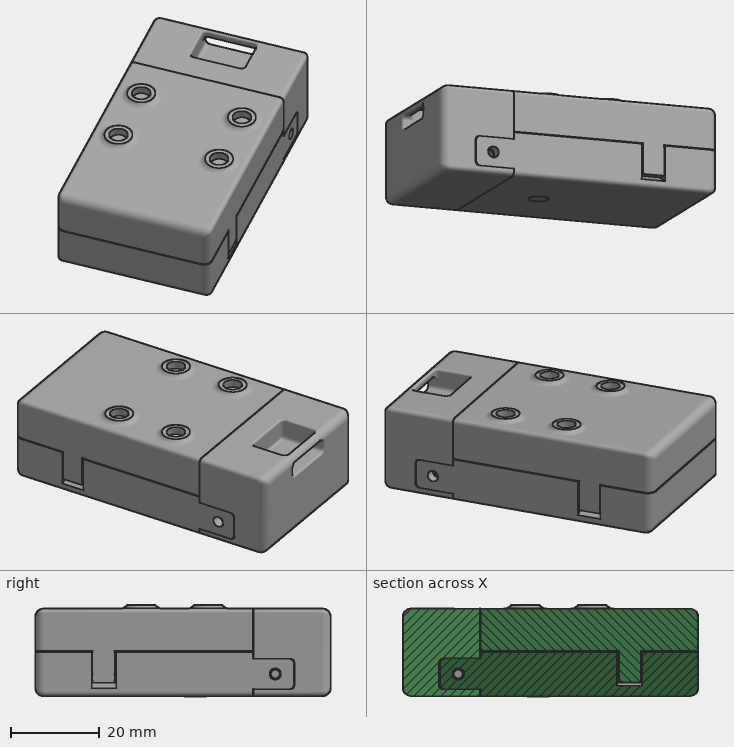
import cadquery as cq
import math

WIDTH = 36.6
LENGTH = 66.5
HEIGHT = 19.75
END_RADIUS = 2.0
SIDE_RADIUS = 1.0

CLEARANCE = 0.2
CAP_JOINT_Y = 15.75
CAP_JOINT_GAP = 0.1
LOWER_TOP_Z = 10.0
UPPER_BOTTOM_Z = LOWER_TOP_Z + CLEARANCE

TONGUE_TIP_Y = 24.85
TONGUE_BOTTOM_Z = 1.6
TONGUE_TOP_Z = 8.45
TONGUE_THICKNESS = 2.65
TONGUE_CORNER_RADIUS = 1.0

PIVOT_Y = 20.75
PIVOT_Z = (TONGUE_BOTTOM_Z + TONGUE_TOP_Z) / 2
PIVOT_CLEARANCE_DIAMETER = 2.5
PIVOT_BORE_DIAMETER = 2.0
PIVOT_BORE_DEPTH = 2.65

TAB_FRONT_Y = -20.35
TAB_BACK_Y = -15.35
TAB_BOTTOM_Z = 3.05
TAB_THICKNESS = 2.0
NOTCH_FRONT_Y = TAB_FRONT_Y - CLEARANCE
NOTCH_BACK_Y = TAB_BACK_Y + 2 * CLEARANCE
NOTCH_BOTTOM_Z = 1.8
NOTCH_LEDGE_Z = 5.0
NOTCH_RAMP_RISE = 1.7
NOTCH_RAMP_RUN = 2 * NOTCH_RAMP_RISE

BUTTON_X = 12.0
BUTTON_ROWS_Y = (5.65, -9.4)
GUARD_HEIGHT = 0.8
GUARD_DIAMETER = 6.3
GUARD_FLARE_RADIUS = 2.0
BUTTON_DIAMETER = 4.2
BUTTON_RECESS = 1.85
BUTTON_THICKNESS = 2.0
BUTTON_BOTTOM_Z = HEIGHT + GUARD_HEIGHT - BUTTON_RECESS - BUTTON_THICKNESS
BUTTON_PLACES = [(x, y) for x in (-BUTTON_X, BUTTON_X) for y in BUTTON_ROWS_Y]

POCKET_WIDTH = 12.95
POCKET_FRONT_Y = 22.3
POCKET_FLOOR_Z = HEIGHT - 5.1
POCKET_RADIUS = 1.0
POCKET_FLOOR_RADIUS = 0.65
POCKET_RIM_RADIUS = 0.5
BAR_FRONT_Y = LENGTH / 2 - 2.0
BAR_BOTTOM_Z = HEIGHT - 1.85
EDGE_MARGIN = 0.2

PAD_DIAMETER = 4.7
PAD_HEIGHT = 0.1
PAD_X = 0.4
PAD_Y = 2.7


def block(x0, x1, y0, y1, z0, z1):
    return cq.Workplane("XY").box(x1 - x0, y1 - y0, z1 - z0, centered=False).translate((x0, y0, z0))


def both_sides(shape):
    """The shape together with its mirror image on the other side of the case."""
    return shape.union(shape.mirror("YZ"))


def make_envelope():
    body = cq.Workplane("XY").box(WIDTH, LENGTH, HEIGHT, centered=(True, True, False))
    body = body.edges("|X or |Z").fillet(END_RADIUS)
    return body.edges("|Y").fillet(SIDE_RADIUS)


def make_tongue_space(tip_y):
    """Both tongue-shaped blocks, from the cap joint to tip_y, flush with the case sides."""
    outer_x = -WIDTH / 2
    inner_x = outer_x + TONGUE_THICKNESS
    tongue = block(outer_x, inner_x, CAP_JOINT_Y, tip_y, TONGUE_BOTTOM_Z, TONGUE_TOP_Z)
    return both_sides(tongue.edges("|X and >Y").fillet(TONGUE_CORNER_RADIUS))


def make_pivot_bore(diameter, depth):
    """A bore of the given depth from each side of the case."""
    bore = cq.Workplane("YZ", origin=(-WIDTH / 2, PIVOT_Y, PIVOT_Z)).circle(diameter / 2).extrude(depth)
    return both_sides(bore)


def make_pocket_trough():
    """Full pocket outline with a rounded floor, reaching above the case top and out to the end face."""
    half_width = POCKET_WIDTH / 2
    trough = block(-half_width, half_width, POCKET_FRONT_Y, LENGTH / 2, POCKET_FLOOR_Z, 2 * HEIGHT)
    trough = trough.edges("(|Y and <Z) or (|Z and <Y)").fillet(POCKET_RADIUS)
    return trough.faces("<Y").edges("<Z").fillet(POCKET_FLOOR_RADIUS)


def make_pocket_well():
    """The part of the pocket in front of the bar, open at the top."""
    well = block(-POCKET_WIDTH / 2, POCKET_WIDTH / 2, POCKET_FRONT_Y, BAR_FRONT_Y, POCKET_FLOOR_Z, HEIGHT)
    well = well.edges("|Z and >Y").fillet(POCKET_RADIUS)
    return well.intersect(make_pocket_trough())


def make_pocket_passage():
    """The part of the pocket that runs under the bar and out through the end face."""
    front_y = BAR_FRONT_Y - POCKET_RADIUS
    passage = block(-POCKET_WIDTH / 2, POCKET_WIDTH / 2, front_y, LENGTH / 2, POCKET_FLOOR_Z, BAR_BOTTOM_Z)
    passage = passage.edges("|Y and >Z").fillet(POCKET_RADIUS)
    return passage.intersect(make_pocket_trough())


def edges_near_pocket(cap, y0, y1, z0, z1):
    """Cap edges across the pocket width whose centres lie in the given Y and Z ranges."""
    reach_x = POCKET_WIDTH / 2 + EDGE_MARGIN
    low = (-reach_x, y0 - EDGE_MARGIN, z0 - EDGE_MARGIN)
    high = (reach_x, y1 + EDGE_MARGIN, z1 + EDGE_MARGIN)
    return cap.edges(cq.selectors.BoxSelector(low, high))


def make_cap():
    cap = make_envelope().intersect(block(-WIDTH, WIDTH, CAP_JOINT_Y + CAP_JOINT_GAP, LENGTH, 0, HEIGHT))
    cap = cap.cut(make_pocket_well())
    rim = edges_near_pocket(cap, POCKET_FRONT_Y, BAR_FRONT_Y, HEIGHT, HEIGHT)
    cap = rim.fillet(POCKET_RIM_RADIUS)

    cap = cap.cut(make_pocket_passage())
    outlet = edges_near_pocket(cap, LENGTH / 2, LENGTH / 2, POCKET_FLOOR_Z, BAR_BOTTOM_Z)
    cap = outlet.fillet(POCKET_RIM_RADIUS)
    bar_edge = cq.selectors.NearestToPointSelector((0, BAR_FRONT_Y, BAR_BOTTOM_Z))
    cap = cap.edges(bar_edge).fillet(POCKET_RIM_RADIUS)

    cap = cap.cut(make_tongue_space(TONGUE_TIP_Y + CLEARANCE))
    return cap.cut(make_pivot_bore(PIVOT_BORE_DIAMETER, TONGUE_THICKNESS + PIVOT_BORE_DEPTH))


def make_guard(x, y):
    """Raised ring whose flank sweeps out tangent to the case top."""
    rim_radius = GUARD_DIAMETER / 2
    flare_angle = math.acos(1 - GUARD_HEIGHT / GUARD_FLARE_RADIUS)
    base_radius = rim_radius + GUARD_FLARE_RADIUS * math.sin(flare_angle)
    half_angle = flare_angle / 2
    middle = (
        base_radius - GUARD_FLARE_RADIUS * math.sin(half_angle),
        GUARD_FLARE_RADIUS * (1 - math.cos(half_angle)),
    )
    profile = (
        cq.Workplane("XZ")
        .lineTo(base_radius, 0)
        .threePointArc(middle, (rim_radius, GUARD_HEIGHT))
        .lineTo(0, GUARD_HEIGHT)
        .close()
    )
    return profile.revolve(360, (0, 0, 0), (0, 1, 0)).translate((x, y, HEIGHT))


def make_button(x, y):
    base = cq.Workplane("XY", origin=(x, y, BUTTON_BOTTOM_Z))
    return base.circle(BUTTON_DIAMETER / 2).extrude(BUTTON_THICKNESS)


def make_button_hole(x, y):
    base = cq.Workplane("XY", origin=(x, y, BUTTON_BOTTOM_Z))
    return base.circle(BUTTON_DIAMETER / 2).extrude(BUTTON_THICKNESS + BUTTON_RECESS)


def make_tabs():
    outer_x = -WIDTH / 2
    tab = block(outer_x, outer_x + TAB_THICKNESS, TAB_FRONT_Y, TAB_BACK_Y, TAB_BOTTOM_Z, UPPER_BOTTOM_Z)
    return both_sides(tab)


def make_notches():
    """Tab notches, undercut below the ledge, with a floor that rises inward."""
    outer_x = -WIDTH / 2
    ledge_x = outer_x + TAB_THICKNESS + CLEARANCE
    deep_x = outer_x + NOTCH_RAMP_RUN
    notch = (
        cq.Workplane("XZ", origin=(0, NOTCH_BACK_Y, 0))
        .moveTo(outer_x, NOTCH_BOTTOM_Z)
        .lineTo(deep_x, NOTCH_BOTTOM_Z + NOTCH_RAMP_RISE)
        .lineTo(deep_x, NOTCH_LEDGE_Z)
        .lineTo(ledge_x, NOTCH_LEDGE_Z)
        .lineTo(ledge_x, LOWER_TOP_Z)
        .lineTo(outer_x, LOWER_TOP_Z)
        .close()
        .extrude(NOTCH_BACK_Y - NOTCH_FRONT_Y)
    )
    return both_sides(notch)


def make_upper_shell():
    shell = make_envelope().intersect(block(-WIDTH, WIDTH, -LENGTH, CAP_JOINT_Y, UPPER_BOTTOM_Z, HEIGHT))
    shell = shell.union(make_tabs())
    for x, y in BUTTON_PLACES:
        shell = shell.union(make_guard(x, y))
        shell = shell.cut(make_button_hole(x, y))
    return shell


def make_lower_shell():
    shell = make_envelope().intersect(block(-WIDTH, WIDTH, -LENGTH, CAP_JOINT_Y, 0, LOWER_TOP_Z))
    shell = shell.union(make_tongue_space(TONGUE_TIP_Y))
    shell = shell.cut(make_pivot_bore(PIVOT_CLEARANCE_DIAMETER, TONGUE_THICKNESS))
    shell = shell.cut(make_notches())
    pad = cq.Workplane("XY", origin=(PAD_X, PAD_Y, 0)).circle(PAD_DIAMETER / 2).extrude(-PAD_HEIGHT)
    return shell.union(pad)


cap = make_cap()
upper_shell = make_upper_shell()
lower_shell = make_lower_shell()
buttons = [make_button(x, y) for x, y in BUTTON_PLACES]

result = cq.Compound.makeCompound(
    [cap.val(), upper_shell.val(), lower_shell.val(), *[button.val() for button in buttons]]
)